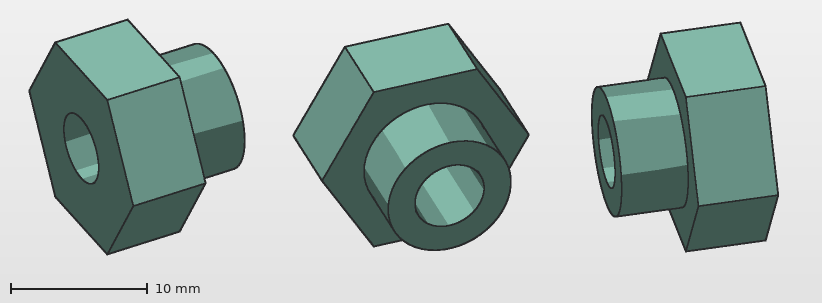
import cadquery as cq

hex_across_corners = 16.17
hex_thickness = 6.0
boss_diameter = 9.6
boss_length = 5.0
bore_diameter = 5.4

total_length = hex_thickness + boss_length

front_face = cq.Workplane("XZ")

head = front_face.polygon(6, hex_across_corners).extrude(-hex_thickness)

boss = front_face.circle(boss_diameter / 2).extrude(-total_length)

bore = front_face.circle(bore_diameter / 2).extrude(-total_length)

result = head.union(boss).cut(bore)